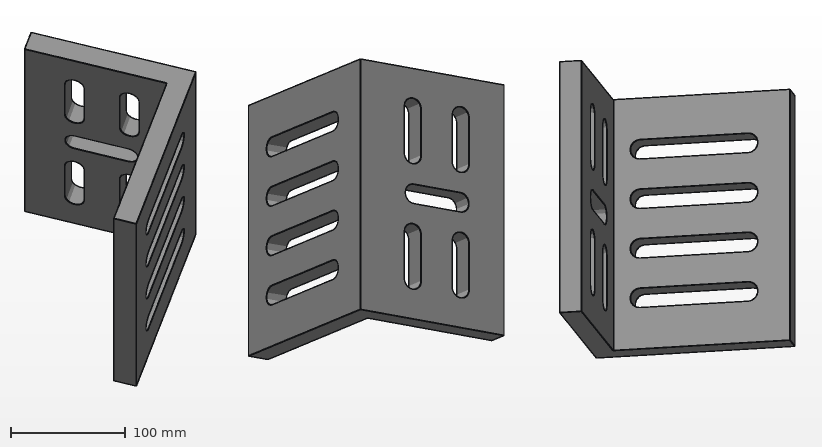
import cadquery as cq

width = 151.0
depth = 178.0
height = 228.0
back_thickness = 20.0
side_thickness = 21.0
edge_chamfer = 0.5

slot_width = 17.0

upright_slot_length = 59.0
upright_spacing_x = 50.2
upright_spacing_z = 114.0
cross_slot_length = 66.0
upright_slots_from_free_edge = 71.0
cross_slot_from_free_edge = 70.5

side_slot_length = 113.3
side_slot_count = 4
side_slot_spacing = 45.0
side_slots_from_free_edge = 86.0

free_x = -width / 2
free_y = -depth / 2
inner_x = width / 2 - side_thickness
inner_y = depth / 2 - back_thickness


def make_angle_plate():
    outline = [
        (free_x, depth / 2),
        (width / 2, depth / 2),
        (width / 2, free_y),
        (inner_x, free_y),
        (inner_x, inner_y),
        (free_x, inner_y),
    ]
    return cq.Workplane("XY").polyline(outline).close().extrude(height / 2, both=True)


def make_back_slots():
    """Cutters through the back plate, spanning its full thickness in Y."""
    free_edge = cq.Workplane("XZ", origin=(free_x, depth / 2, 0))
    upright_slots = (
        free_edge.center(upright_slots_from_free_edge, 0)
        .rarray(upright_spacing_x, upright_spacing_z, 2, 2)
        .slot2D(upright_slot_length, slot_width, angle=90)
        .extrude(back_thickness)
    )
    cross_slot = (
        free_edge.center(cross_slot_from_free_edge, 0)
        .slot2D(cross_slot_length, slot_width)
        .extrude(back_thickness)
    )
    return upright_slots.union(cross_slot)


def make_side_slots():
    """Cutters through the side plate, spanning its full thickness in X."""
    slots_y = free_y + side_slots_from_free_edge
    return (
        cq.Workplane("YZ", origin=(inner_x, slots_y, 0))
        .rarray(2.3, side_slot_spacing, 1, side_slot_count)
        .slot2D(side_slot_length, slot_width)
        .extrude(side_thickness)
    )


slotted_plate = make_angle_plate().cut(make_back_slots()).cut(make_side_slots())
result = slotted_plate.edges().chamfer(edge_chamfer)